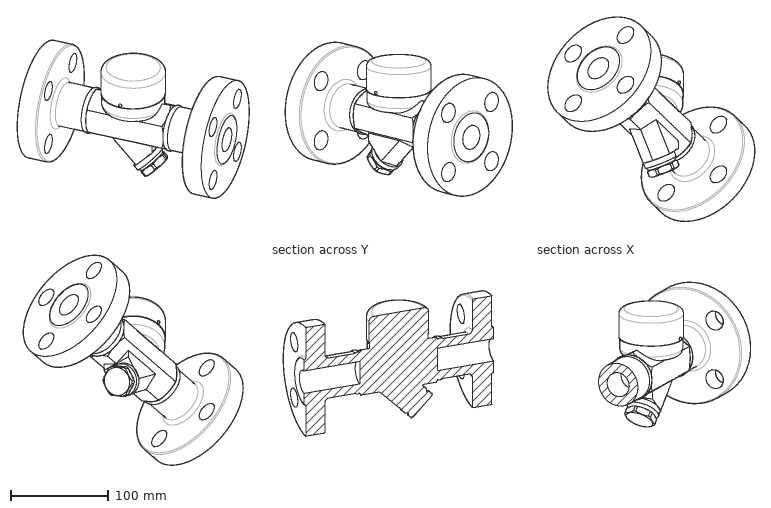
import cadquery as cq
import math

length = 210.0
half_length = length / 2

flange_dia = 124.0
flange_edge_round = 1.3
flange_inner_x = 81.3
raised_face_dia = 51.0
raised_face_height = 1.9
bolt_hole_dia = 20.0
bolt_circle_dia = 88.8
bolt_count = 4
first_bolt_angle = 45

pipe_dia = 46.0
pipe_fillet = 4.0
weld_dia = 48.3
weld_outer_x = 48.3
bore_dia = 25.0

body_half_length = 43.3
body_across_flats = 45.0
body_end_dia = 46.6
hex_chamfer_angle = math.radians(30)

cap_dia = 66.5
cap_top_z = 61.5
cap_top_fillet = 5.5
cap_skirt_z = 31.3
neck_dia = 65.0
neck_bottom_z = 13.5
neck_fillet = 6.3
pin_dia = 3.4
pin_z = 34.0

branch_tilt = 45
branch_offset = 17.0
branch_ridge = 16.4
branch_corner = 6.7
branch_half_width = 16.0
branch_top = 26.2
branch_end = 37.8
branch_limit_x = 27.7

collar_dia = 34.0
collar_end = 43.5
plug_neck_dia = 29.0
plug_neck_end = 46.6
plug_end = 54.4
plug_across_flats = 29.8
plug_corner_dia = 33.0

arc_mid_inset = 1 - math.sqrt(0.5)


def ring_solid(profile):
    """Close an (axial, radius) outline in XY and revolve it around the X axis."""
    return profile.close().revolve(360, (0, 0, 0), (1, 0, 0))


def corner_diameter(across_flats):
    """Distance across the corners of a regular hexagon."""
    return across_flats / math.cos(math.pi / 6)


def hex_bar(start_x, end_x, across_flats):
    """Hexagonal bar along X with corners pointing up and down."""
    return (
        cq.Workplane("YZ", origin=(start_x, 0, 0))
        .transformed(rotate=(0, 0, 90))
        .polygon(6, corner_diameter(across_flats))
        .extrude(end_x - start_x)
    )


def chamfered_envelope(start_x, end_x, end_r, full_r):
    """Round bar along X whose ends taper from full_r down to end_r."""
    chamfer_length = (full_r - end_r) * math.tan(hex_chamfer_angle)
    return ring_solid(
        cq.Workplane("XY")
        .moveTo(start_x, 0)
        .lineTo(start_x, end_r)
        .lineTo(start_x + chamfer_length, full_r)
        .lineTo(end_x - chamfer_length, full_r)
        .lineTo(end_x, end_r)
        .lineTo(end_x, 0)
    )


def make_end():
    """Flange, raised face, pipe stub and weld bead on the -X side."""
    flange_r = flange_dia / 2
    pipe_r = pipe_dia / 2
    face_r = raised_face_dia / 2
    flange_outer_x = half_length - raised_face_height
    face_blend = arc_mid_inset * raised_face_height
    pipe_blend = arc_mid_inset * pipe_fillet
    edge_blend = arc_mid_inset * flange_edge_round
    weld_mid_x = (weld_outer_x + body_half_length) / 2

    profile = (
        cq.Workplane("XY")
        .moveTo(-half_length, 0)
        .lineTo(-half_length, face_r)
        .threePointArc(
            (-flange_outer_x - face_blend, face_r + face_blend),
            (-flange_outer_x, face_r + raised_face_height),
        )
        .lineTo(-flange_outer_x, flange_r)
        .lineTo(-flange_inner_x - flange_edge_round, flange_r)
        .threePointArc(
            (-flange_inner_x - edge_blend, flange_r - edge_blend),
            (-flange_inner_x, flange_r - flange_edge_round),
        )
        .lineTo(-flange_inner_x, pipe_r + pipe_fillet)
        .threePointArc(
            (-flange_inner_x + pipe_blend, pipe_r + pipe_blend),
            (-flange_inner_x + pipe_fillet, pipe_r),
        )
        .lineTo(-weld_outer_x, pipe_r)
        .threePointArc((-weld_mid_x, weld_dia / 2), (-body_half_length, pipe_r))
        .lineTo(-body_half_length, 0)
    )
    bolt_holes = (
        cq.Workplane("YZ", origin=(-half_length, 0, 0))
        .polarArray(bolt_circle_dia / 2, first_bolt_angle, 360, bolt_count)
        .circle(bolt_hole_dia / 2)
        .extrude(half_length - flange_inner_x)
    )
    bore = (
        cq.Workplane("YZ", origin=(-half_length, 0, 0))
        .circle(bore_dia / 2)
        .extrude(half_length - body_half_length)
    )
    return ring_solid(profile).cut(bolt_holes).cut(bore)


def make_body():
    """Hexagonal bar with conically chamfered ends."""
    corner_r = corner_diameter(body_across_flats) / 2
    bar = hex_bar(-body_half_length, body_half_length, body_across_flats)
    envelope = chamfered_envelope(-body_half_length, body_half_length, body_end_dia / 2, corner_r)
    return bar.intersect(envelope)


def make_cap():
    """Round cap on a narrower, round-bottomed neck, with two small domed pins."""
    cap_r = cap_dia / 2
    cap = (
        cq.Workplane("XY", origin=(0, 0, cap_skirt_z))
        .circle(cap_r)
        .extrude(cap_top_z - cap_skirt_z)
        .faces(">Z")
        .edges()
        .fillet(cap_top_fillet)
    )
    neck = (
        cq.Workplane("XY", origin=(0, 0, neck_bottom_z))
        .circle(neck_dia / 2)
        .extrude(cap_skirt_z - neck_bottom_z)
        .faces("<Z")
        .edges()
        .fillet(neck_fillet)
    )
    cap = cap.union(neck)
    for side in (-1, 1):
        pin = cq.Workplane("XY").sphere(pin_dia / 2)
        cap = cap.union(pin.translate((0, side * cap_r, pin_z)))
    return cap


def tilt_to_branch(solid):
    """Move a solid built along +X from the origin onto the drain branch axis."""
    return solid.translate((0, 0, -branch_offset)).rotate((0, 0, 0), (0, 1, 0), branch_tilt)


def make_branch():
    """Ridged prism leaving the body at the branch angle."""
    prism = (
        cq.Workplane("YZ")
        .polyline([
            (0, -branch_ridge),
            (branch_half_width, -branch_corner),
            (branch_half_width, branch_top),
            (-branch_half_width, branch_top),
            (-branch_half_width, -branch_corner),
        ])
        .close()
        .extrude(branch_end)
    )
    keep = cq.Workplane("XY").box(length, length, length, centered=(False, True, False))
    keep = keep.translate((branch_limit_x - length, 0, -length))
    return tilt_to_branch(prism).intersect(keep)


def make_plug():
    """Round collar, conical neck and hexagonal head of the drain plug."""
    neck_r = plug_neck_dia / 2
    collar = ring_solid(
        cq.Workplane("XY")
        .moveTo(branch_end, 0)
        .lineTo(branch_end, collar_dia / 2)
        .lineTo(collar_end, collar_dia / 2)
        .lineTo(plug_neck_end, neck_r)
        .lineTo(plug_neck_end, 0)
    )
    envelope = chamfered_envelope(plug_neck_end, plug_end, neck_r, plug_corner_dia / 2)
    head = hex_bar(plug_neck_end, plug_end, plug_across_flats).intersect(envelope)
    return tilt_to_branch(collar.union(head))


inlet = make_end()
outlet = inlet.mirror("YZ")

result = (
    make_body()
    .union(inlet)
    .union(outlet)
    .union(make_cap())
    .union(make_branch())
    .union(make_plug())
)